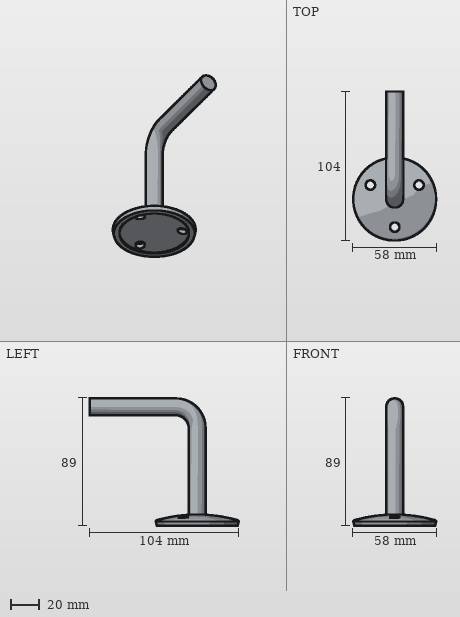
import cadquery as cq
import math

RIM_DIAMETER = 58.0
BOTTOM_DIAMETER = 56.4
RIM_HEIGHT = 3.2
DOME_EDGE_DIAMETER = 55.0
DOME_EDGE_HEIGHT = 4.3
DOME_TOP_HEIGHT = 8.1

SHELL_THICKNESS = 4.0

HOLE_COUNT = 3
HOLE_DIAMETER = 6.5
HOLE_CIRCLE_RADIUS = 19.5
FIRST_HOLE_ANGLE = -90.0

ROD_DIAMETER = 12.0
OVERALL_LENGTH = 104.0
OVERALL_HEIGHT = 89.0
BEND_RADIUS = 15.0

RIM_RADIUS = RIM_DIAMETER / 2
BOTTOM_RADIUS = BOTTOM_DIAMETER / 2
DOME_EDGE_RADIUS = DOME_EDGE_DIAMETER / 2
ROD_RADIUS = ROD_DIAMETER / 2
ROD_END_Y = OVERALL_LENGTH - RIM_RADIUS
ROD_ARM_Z = OVERALL_HEIGHT - ROD_RADIUS

DOME_RISE = DOME_TOP_HEIGHT - DOME_EDGE_HEIGHT
DOME_RADIUS = (DOME_EDGE_RADIUS**2 + DOME_RISE**2) / (2 * DOME_RISE)
DOME_CENTER_Z = DOME_TOP_HEIGHT - DOME_RADIUS


def dome_height(radius):
    """Height of the domed surface at a distance from the Z axis."""
    return DOME_CENTER_Z + math.sqrt(DOME_RADIUS**2 - radius**2)


def ceiling_height(radius):
    """Height of the hollow's ceiling, concentric with the dome, at a distance from the Z axis."""
    return DOME_CENTER_Z + math.sqrt((DOME_RADIUS - SHELL_THICKNESS) ** 2 - radius**2)


SEAT_Z = dome_height(ROD_RADIUS)


def make_disc():
    """Revolve the flange's half section, with its hollow, about the Z axis."""
    hollow_radius = BOTTOM_RADIUS - SHELL_THICKNESS
    ceiling_middle = (hollow_radius / 2, ceiling_height(hollow_radius / 2))
    dome_middle_radius = (ROD_RADIUS + DOME_EDGE_RADIUS) / 2
    dome_middle = (dome_middle_radius, dome_height(dome_middle_radius))
    return (
        cq.Workplane("XZ")
        .moveTo(0, SEAT_Z)
        .lineTo(ROD_RADIUS, SEAT_Z)
        .threePointArc(dome_middle, (DOME_EDGE_RADIUS, DOME_EDGE_HEIGHT))
        .tangentArcPoint((RIM_RADIUS, RIM_HEIGHT), relative=False)
        .lineTo(BOTTOM_RADIUS, 0)
        .lineTo(hollow_radius, 0)
        .lineTo(hollow_radius, ceiling_height(hollow_radius))
        .threePointArc(ceiling_middle, (0, ceiling_height(0)))
        .close()
        .revolve(360, (0, 0, 0), (0, 1, 0))
    )


def make_mounting_holes():
    """Upright cylinders that cut the mounting holes."""
    return (
        cq.Workplane("XY")
        .polarArray(HOLE_CIRCLE_RADIUS, FIRST_HOLE_ANGLE, 360, HOLE_COUNT)
        .circle(HOLE_DIAMETER / 2)
        .extrude(SEAT_Z)
    )


def make_rod():
    """Sweep a round section up the Z axis, through the bend and along +Y."""
    path = (
        cq.Workplane("YZ")
        .moveTo(0, SEAT_Z)
        .lineTo(0, ROD_ARM_Z - BEND_RADIUS)
        .tangentArcPoint((BEND_RADIUS, ROD_ARM_Z), relative=False)
        .lineTo(ROD_END_Y, ROD_ARM_Z)
    )
    return cq.Workplane("XY", origin=(0, 0, SEAT_Z)).circle(ROD_RADIUS).sweep(path)


flange = make_disc().cut(make_mounting_holes())
rod = make_rod()

result = cq.Compound.makeCompound([*flange.vals(), *rod.vals()])